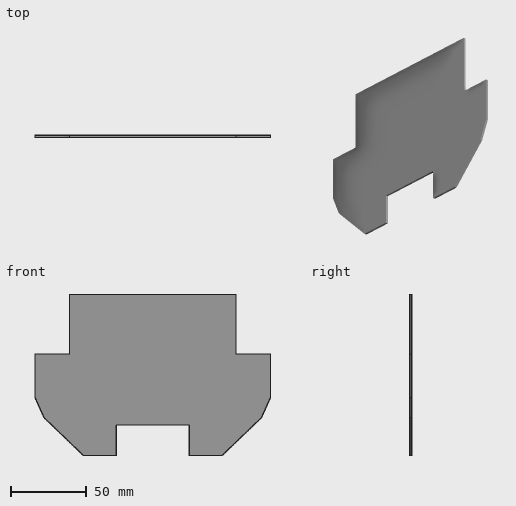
import cadquery as cq

plate_width = 155.44
plate_height = 106.24
plate_thickness = 1.6

tab_width = 110.0
shoulder_height = 67.0

side_bottom_height = 38.4
knee_inset = 6.0
knee_height = 25.0
foot_span = 91.4

notch_width = 47.8
notch_depth = 20.0


def right_half_outline():
    """Points of the right half, from the notch roof round to the tab top."""
    half_width = plate_width / 2
    return [
        (notch_width / 2, notch_depth),
        (notch_width / 2, 0),
        (foot_span / 2, 0),
        (half_width - knee_inset, knee_height),
        (half_width, side_bottom_height),
        (half_width, shoulder_height),
        (tab_width / 2, shoulder_height),
        (tab_width / 2, plate_height),
    ]


def make_plate():
    """Flat plate, mirror-symmetric in X and centred on the origin."""
    right_half = right_half_outline()
    left_half = [(-x, z) for x, z in reversed(right_half)]
    return (
        cq.Workplane("XZ")
        .polyline(right_half + left_half)
        .close()
        .extrude(plate_thickness / 2, both=True)
        .translate((0, 0, -plate_height / 2))
    )


result = make_plate()